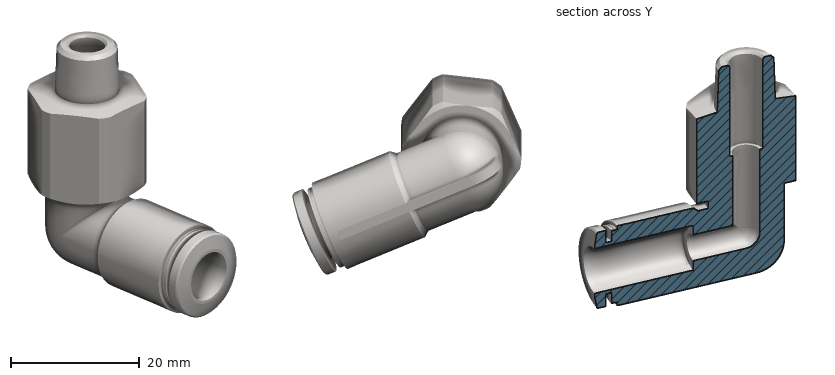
import cadquery as cq
import math

elbow_radius = 13.05 / 2
passage_radius = 4.6 / 2

stud_top_z = 31.5
stud_base_z = 23.5
stud_base_radius = 10.0 / 2
stud_tip_radius = 9.52 / 2
stud_chamfer = 0.6
stud_bore_radius = 5.56 / 2
stud_bore_bottom_z = 15.0
stud_bore_chamfer = 0.37

hex_across_flats = 17.0
hex_corner_radius = 1.1 * hex_across_flats / 2
hex_bottom_z = 7.75
hex_turn = 30
hex_bottom_chamfer_angle = 30
hex_top_edge_drop = 0.47

body_radius = 14.45 / 2
body_ring_radius = 14.5 / 2
body_start_x = 8.25
body_ring_x = 20.65
body_end_x = 22.15
body_start_chamfer_length = 0.85

guide_radius = 13.3 / 2
guide_end_x = 23.1
guide_groove_radius = 13.05 / 2
guide_groove_x = 22.53
guide_groove_width = 0.2

neck_radius = 9.4 / 2
neck_fillet = 0.2
collar_radius = 13.8 / 2
collar_start_x = 24.0
collar_end_x = 26.0
collar_rim_x = 25.4
collar_edge_chamfer = 0.23
collar_face_radius = 4.5
tube_bore_radius = 8.0 / 2
tube_stop_x = body_start_x + body_start_chamfer_length

rib_width = 1.5
rib_corner_radius = 4.75


def revolve_about_x(profile):
    """Revolve a closed XY profile of (x, radius) about the X axis."""
    return profile.close().revolve(360, (0, 0, 0), (1, 0, 0))


def revolve_about_z(points):
    """Revolve (radius, z) points, closed into an outline, about the Z axis."""
    return cq.Workplane("XZ").polyline(points).close().revolve(360, (0, 0, 0), (0, 1, 0))


def cylinder_x(radius, start_x, end_x):
    return cq.Workplane("YZ").workplane(offset=start_x).circle(radius).extrude(end_x - start_x)


def cylinder_z(radius, start_z, end_z):
    return cq.Workplane("XY").workplane(offset=start_z).circle(radius).extrude(end_z - start_z)


def rounded_elbow(radius, end_x, end_z):
    """Two equal cylinders joined by a ball at the origin."""
    vertical = cylinder_z(radius, 0, end_z)
    horizontal = cylinder_x(radius, 0, end_x)
    return cq.Workplane("XY").sphere(radius).union(vertical).union(horizontal)


def hex_body():
    """Hex with flats facing +X and -X, turned round at the corners and sloped at both ends."""
    across_corners = hex_across_flats / math.cos(math.pi / 6)
    prism = (
        cq.Workplane("XY")
        .workplane(offset=hex_bottom_z)
        .polygon(6, across_corners)
        .extrude(stud_base_z - hex_bottom_z)
        .rotate((0, 0, 0), (0, 0, 1), hex_turn)
    )
    bottom_radius = hex_across_flats / 2
    chamfer_height = (hex_corner_radius - bottom_radius) * math.tan(math.radians(hex_bottom_chamfer_angle))
    envelope = revolve_about_z([
        (0, hex_bottom_z),
        (bottom_radius, hex_bottom_z),
        (hex_corner_radius, hex_bottom_z + chamfer_height),
        (hex_corner_radius, stud_base_z - hex_top_edge_drop),
        (stud_base_radius, stud_base_z),
        (0, stud_base_z),
    ])
    return prism.intersect(envelope)


def stud():
    """Tapered stud with a chamfered tip."""
    return revolve_about_z([
        (0, hex_bottom_z),
        (stud_base_radius, hex_bottom_z),
        (stud_base_radius, stud_base_z),
        (stud_tip_radius, stud_top_z - stud_chamfer),
        (stud_tip_radius - stud_chamfer, stud_top_z),
        (0, stud_top_z),
    ])


def stud_bore():
    """Bore from the stud tip down to the narrower passage, with a chamfered mouth."""
    return revolve_about_z([
        (0, stud_bore_bottom_z),
        (stud_bore_radius, stud_bore_bottom_z),
        (stud_bore_radius, stud_top_z - stud_bore_chamfer),
        (stud_bore_radius + stud_bore_chamfer, stud_top_z),
        (0, stud_top_z),
    ])


def socket_body():
    """Socket body with its raised end ring, grooved guide and release collar, turned in one piece."""
    groove_end_x = guide_groove_x + guide_groove_width
    profile = (
        cq.Workplane("XY")
        .moveTo(body_start_x, 0)
        .lineTo(body_start_x, elbow_radius)
        .lineTo(body_start_x + body_start_chamfer_length, body_radius)
        .lineTo(body_ring_x, body_radius)
        .lineTo(body_ring_x, body_ring_radius)
        .lineTo(body_end_x, body_ring_radius)
        .lineTo(body_end_x, guide_radius)
        .lineTo(guide_groove_x, guide_radius)
        .lineTo(guide_groove_x, guide_groove_radius)
        .lineTo(groove_end_x, guide_groove_radius)
        .lineTo(groove_end_x, guide_radius)
        .lineTo(guide_end_x, guide_radius)
        .lineTo(guide_end_x, neck_radius)
        .lineTo(collar_start_x - neck_fillet, neck_radius)
        .radiusArc((collar_start_x, neck_radius + neck_fillet), -neck_fillet)
        .lineTo(collar_start_x, collar_radius)
        .lineTo(collar_rim_x, collar_radius)
        .lineTo(collar_rim_x + collar_edge_chamfer, collar_radius - collar_edge_chamfer)
        .lineTo(collar_end_x, collar_face_radius)
        .lineTo(collar_end_x, 0)
    )
    return revolve_about_x(profile)


def rib():
    """Thin web in the XZ plane that squares off the outside of the bend."""
    back_x = -elbow_radius
    bottom_z = -body_ring_radius
    return (
        cq.Workplane("XZ")
        .moveTo(0, 0)
        .lineTo(back_x, 0)
        .lineTo(back_x, bottom_z + rib_corner_radius)
        .radiusArc((back_x + rib_corner_radius, bottom_z), -rib_corner_radius)
        .lineTo(body_ring_x, bottom_z)
        .lineTo(body_ring_x, 0)
        .close()
        .extrude(rib_width / 2, both=True)
    )


outside = (
    rounded_elbow(elbow_radius, body_start_x, hex_bottom_z)
    .union(hex_body())
    .union(stud())
    .union(socket_body())
    .union(rib())
)
passage = rounded_elbow(passage_radius, tube_stop_x, stud_bore_bottom_z)
tube_bore = cylinder_x(tube_bore_radius, tube_stop_x, collar_end_x)

result = outside.cut(passage).cut(stud_bore()).cut(tube_bore)